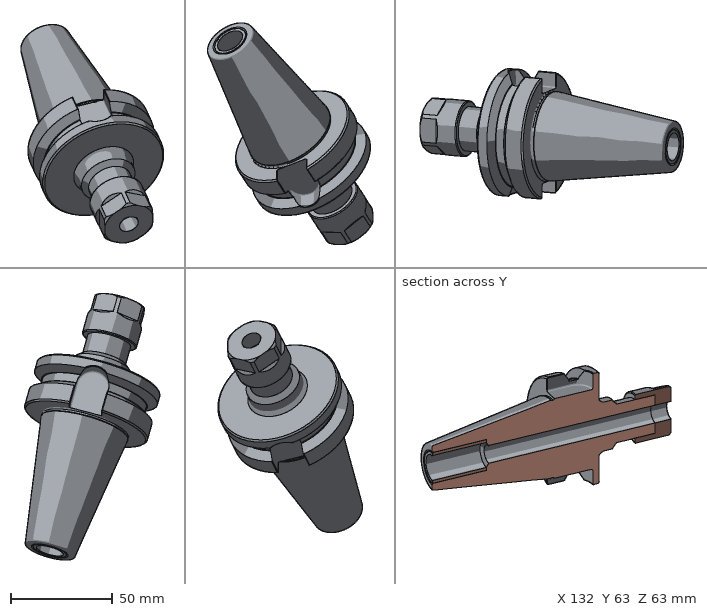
import cadquery as cq
import math

overall_length = 132.0

taper_length = 65.5
taper_large_radius = 44.5 / 2
taper_ratio = 7 / 24
taper_end_fillet = 0.9
collar_start = 65.8
collar_radius = 44.0 / 2
collar_root_fillet = 0.7

flange_start = 67.4
flange_end = 92.4
flange_radius = 63.0 / 2
flange_chamfer = 0.8
groove_floor_radius = 53.0 / 2
groove_step = 0.5
groove_start = 76.8
groove_floor_start = 79.7
groove_floor_end = 84.2
groove_end = 86.8

slot_width = 16.1
slot_floor_height = 22.5
slot_end = 88.7
slot_floor_fillet = 0.8
slot_mouth_chamfer = 0.4

boss_radius = 27.8 / 2
boss_root_radius = 15.6
boss_root_end = 95.7
boss_end = 99.5
neck_start = 101.9
neck_radius = 22.0 / 2

through_bore_radius = 9.8 / 2
drill_point_angle = 118.0

sleeve_outer_radius = 17.0 / 2
sleeve_bore_radius = 13.9 / 2
sleeve_start = 0.1
sleeve_end = 30.0
counterbore_chamfer = 0.8

nut_start = 111.8
nut_radius = 27.7 / 2
nut_rear_chamfer = 0.5
nut_front_radius = 12.7
nut_front_chamfer_length = 1.0
flat_count = 6
across_flats = 25.0
flats_start = 123.1

drill_point_slope = math.tan(math.radians(drill_point_angle / 2))
drill_point_length = (sleeve_bore_radius - through_bore_radius) / drill_point_slope
spigot_end = flats_start


def revolve_on_x(outline):
    """Turn a closed outline of (X, radius) points around the X axis."""
    return outline.close().revolve(360, (0, 0, 0), (1, 0, 0))


def holder_body():
    def taper_radius(x):
        return taper_large_radius - (taper_length - x) * taper_ratio / 2

    chord_angle = math.atan2(boss_root_radius - boss_radius, boss_root_end - flange_end)
    root_radius = (boss_root_end - flange_end) / math.sin(2 * chord_angle)
    root_middle = (
        boss_root_end - root_radius * math.sin(chord_angle),
        boss_radius + root_radius * (1 - math.cos(chord_angle)),
    )
    outline = (
        cq.Workplane("XY")
        .moveTo(0, 0)
        .lineTo(0, taper_radius(0))
        .lineTo(taper_length, taper_large_radius)
        .lineTo(collar_start, collar_radius)
        .lineTo(flange_start - collar_root_fillet, collar_radius)
        .radiusArc((flange_start, collar_radius + collar_root_fillet), -collar_root_fillet)
        .lineTo(flange_start, flange_radius - flange_chamfer)
        .lineTo(flange_start + flange_chamfer, flange_radius)
        .lineTo(groove_start, flange_radius)
        .lineTo(groove_floor_start, groove_floor_radius + groove_step)
        .lineTo(groove_floor_start, groove_floor_radius)
        .lineTo(groove_floor_end, groove_floor_radius)
        .lineTo(groove_floor_end, groove_floor_radius + groove_step)
        .lineTo(groove_end, flange_radius)
        .lineTo(flange_end - flange_chamfer, flange_radius)
        .lineTo(flange_end, flange_radius - flange_chamfer)
        .lineTo(flange_end, boss_root_radius)
        .threePointArc(root_middle, (boss_root_end, boss_radius))
        .lineTo(boss_end, boss_radius)
        .lineTo(neck_start, neck_radius)
        .lineTo(spigot_end, neck_radius)
        .lineTo(spigot_end, 0)
    )
    return revolve_on_x(outline).faces("<X").edges().fillet(taper_end_fillet)


def holder_bore():
    outline = (
        cq.Workplane("XY")
        .moveTo(0, 0)
        .lineTo(0, sleeve_outer_radius + counterbore_chamfer)
        .lineTo(counterbore_chamfer, sleeve_outer_radius)
        .lineTo(sleeve_end, sleeve_outer_radius)
        .lineTo(sleeve_end, sleeve_bore_radius)
        .lineTo(sleeve_end + drill_point_length, through_bore_radius)
        .lineTo(spigot_end, through_bore_radius)
        .lineTo(spigot_end, 0)
    )
    return revolve_on_x(outline)


def drive_slot():
    """Cutter for the +Z slot: open at the shank side, round at the other end, filleted at the floor."""
    end_radius = slot_width / 2
    straight_end = slot_end - end_radius
    slot = (
        cq.Workplane("XY", origin=(0, 0, slot_floor_height))
        .moveTo(flange_start, -end_radius)
        .lineTo(straight_end, -end_radius)
        .threePointArc((slot_end, 0), (straight_end, end_radius))
        .lineTo(flange_start, end_radius)
        .close()
        .extrude(flange_radius - slot_floor_height)
        .faces("<Z")
        .edges("not(<X)")
        .fillet(slot_floor_fillet)
    )

    flare_half_width = end_radius + slot_mouth_chamfer
    flare_end = flange_start + slot_mouth_chamfer
    flare = (
        cq.Workplane("XY", origin=(0, 0, slot_floor_height + slot_floor_fillet))
        .moveTo(flange_start, -flare_half_width)
        .lineTo(flare_end, -end_radius)
        .lineTo(flare_end, end_radius)
        .lineTo(flange_start, flare_half_width)
        .close()
        .extrude(flange_radius - slot_floor_height - slot_floor_fillet)
    )
    return slot.union(flare)


def chamfer_slot_mouths(body):
    """Break the slot wall edges on the flange's outer cylinders."""
    margin = 0.01
    half_width = slot_width / 2
    cylinder_edge_height = math.sqrt(flange_radius**2 - half_width**2)

    def is_mouth_edge(edge):
        box = edge.BoundingBox()
        inside_slot = max(-box.ymin, box.ymax) < half_width + margin and box.xmax < slot_end + margin
        on_cylinder = min(abs(box.zmin), abs(box.zmax)) > cylinder_edge_height - margin
        return inside_slot and on_cylinder

    mouth_edges = [edge for edge in body.edges().vals() if is_mouth_edge(edge)]
    return body.newObject(mouth_edges).chamfer(slot_mouth_chamfer)


holder = holder_body().cut(holder_bore())
for slot_turn in (0, 180):
    holder = holder.cut(drive_slot().rotate((0, 0, 0), (1, 0, 0), slot_turn))
holder = chamfer_slot_mouths(holder)


sleeve = (
    cq.Workplane("YZ", origin=(sleeve_start, 0, 0))
    .circle(sleeve_outer_radius)
    .circle(sleeve_bore_radius)
    .extrude(sleeve_end - sleeve_start)
)


def nut_body():
    outline = (
        cq.Workplane("XY")
        .moveTo(nut_start, neck_radius)
        .lineTo(nut_start, nut_radius - nut_rear_chamfer)
        .lineTo(nut_start + nut_rear_chamfer, nut_radius)
        .lineTo(overall_length - nut_front_chamfer_length, nut_radius)
        .lineTo(overall_length, nut_front_radius)
        .lineTo(overall_length, through_bore_radius)
        .lineTo(spigot_end, through_bore_radius)
        .lineTo(spigot_end, neck_radius)
    )
    return revolve_on_x(outline)


def wrench_flat():
    """Cutter for the -Y flat, whose rear end runs out at 45 degrees."""
    flat_distance = across_flats / 2
    depth = nut_radius - flat_distance
    return (
        cq.Workplane("XY", origin=(0, 0, -nut_radius))
        .moveTo(flats_start, -flat_distance)
        .lineTo(overall_length, -flat_distance)
        .lineTo(overall_length, -nut_radius)
        .lineTo(flats_start - depth, -nut_radius)
        .close()
        .extrude(2 * nut_radius)
    )


nut = nut_body()
for flat_index in range(flat_count):
    nut = nut.cut(wrench_flat().rotate((0, 0, 0), (1, 0, 0), flat_index * 360 / flat_count))

result = cq.Compound.makeCompound([holder.val(), sleeve.val(), nut.val()])